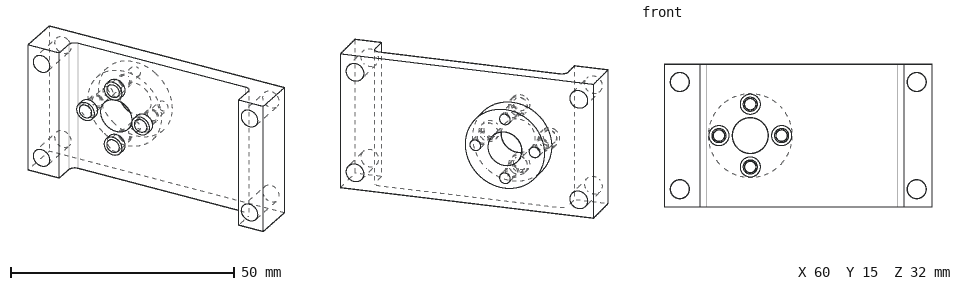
import cadquery as cq

length = 60.0
height = 32.0
depth_with_disc = 15.0
disc_thickness = 5.0
body_depth = depth_with_disc - disc_thickness
plate_thickness = 4.0
left_foot_width = 8.0
right_foot_width = 6.3
inner_fillet = 1.5

mount_diameter = 4.2
mount_edge_distance = 3.5
mount_spacing_z = 24.0

disc_diameter = 18.8
disc_x = 19.25
bore_diameter = 8.0
bushing_diameter = 4.5
bushing_length = 1.5
bushing_hole_diameter = 3.2
disc_hole_diameter = 2.5
bushing_circle_radius = 7.0

disc_center_x = disc_x - length / 2
plate_front = body_depth - plate_thickness
plate_back = body_depth
disc_back = depth_with_disc


def cylinders(points, diameter, y_start, y_end):
    """Cylinders along +Y at the given (X, Z) points."""
    return (
        cq.Workplane("XZ", origin=(0, y_start, 0))
        .pushPoints(points)
        .circle(diameter / 2)
        .extrude(y_start - y_end)
    )


def make_body():
    channel_width = length - left_foot_width - right_foot_width
    channel_x = (left_foot_width - right_foot_width) / 2
    block = cq.Workplane("XY").box(length, body_depth, height, centered=(True, False, True))
    channel = (
        cq.Workplane("XY", origin=(channel_x, 0, 0))
        .box(channel_width, plate_front, height, centered=(True, False, True))
        .edges("|Z and >Y")
        .fillet(inner_fillet)
    )
    return block.cut(channel)


mount_x = length / 2 - mount_edge_distance
mount_z = mount_spacing_z / 2
mount_points = [(x, z) for x in (-mount_x, mount_x) for z in (-mount_z, mount_z)]

disc_center = [(disc_center_x, 0)]
bushing_points = [
    (disc_center_x - bushing_circle_radius, 0),
    (disc_center_x + bushing_circle_radius, 0),
    (disc_center_x, -bushing_circle_radius),
    (disc_center_x, bushing_circle_radius),
]
bushing_front = plate_front - bushing_length

result = make_body()
result = result.union(cylinders(disc_center, disc_diameter, plate_back, disc_back))
result = result.union(cylinders(bushing_points, bushing_diameter, bushing_front, plate_back))

result = result.cut(cylinders(bushing_points, bushing_hole_diameter, bushing_front, plate_back))
result = result.cut(cylinders(bushing_points, disc_hole_diameter, plate_back, disc_back))
result = result.cut(cylinders(disc_center, bore_diameter, plate_front, disc_back))
result = result.cut(cylinders(mount_points, mount_diameter, 0, plate_back))